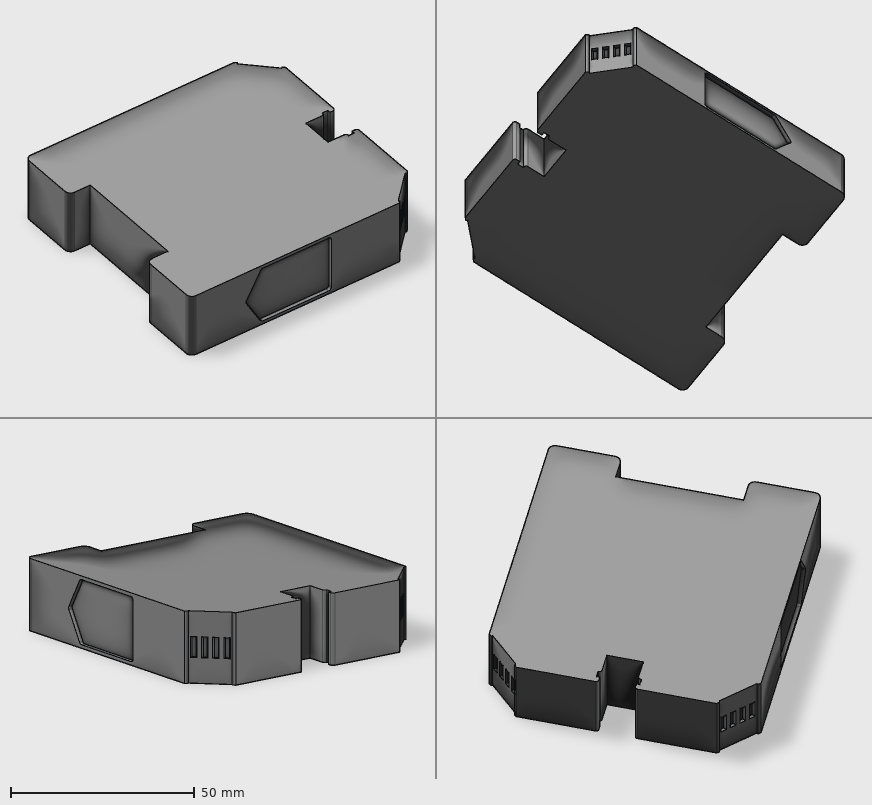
import cadquery as cq
import math

width = 76.3
length = 80.65
thickness = 20.5

slot_width = 10.25
slot_depth = 10.0
groove_start = 1.85
groove_width = 1.85
groove_depth = 1.0
slot_radius = 0.8

notch_width = 35.9
notch_depth = 7.2
foot_radius = 1.9

corner_leg = 10.0
lip_length = 0.9
lip_radius = 0.25
panel_depth = 0.5
wall_draft = 20.0

vent_count = 4
vent_pitch = 3.1
vent_width = 1.8
vent_height = 5.9
vent_depth = 1.0

label_height = 18.4
label_back = 7.3
label_tip = -21.6
label_tip_half_angle = 60.0
label_depth = 1.2
label_radius = 1.0

half_width = width / 2
half_length = length / 2
panel_length = corner_leg * math.sqrt(2) - 2 * lip_length
corner_x = half_width - corner_leg / 2
corner_y = half_length - corner_leg / 2


def cut_box(x_size, y_size, x, y):
    """Full-thickness box centred at (x, y)."""
    return cq.Workplane("XY").box(x_size, y_size, thickness).translate((x, y, 0))


def round_upright_edge(body, x, y, radius):
    """Fillet the edge along Z that passes through (x, y)."""
    return body.edges("|Z").edges(cq.NearestToPointSelector((x, y, 0))).fillet(radius)


def make_body():
    """Plain block with cut-off +Y corners, a slot and a rail notch."""
    body = cq.Workplane("XY").box(width, length, thickness)
    body = body.edges("|Z and >Y").chamfer(corner_leg)
    body = body.cut(cut_box(slot_width, slot_depth, 0, half_length - slot_depth / 2))
    body = body.cut(cut_box(notch_width, notch_depth, 0, -half_length + notch_depth / 2))
    body = body.edges("|Z and <Y").fillet(foot_radius)
    groove_y = half_length - groove_start - groove_width / 2
    body = body.cut(cut_box(slot_width + 2 * groove_depth, groove_width, 0, groove_y))
    groove_end = half_length - groove_start - groove_width
    for side in (-1, 1):
        for edge_y in (half_length, groove_end):
            body = round_upright_edge(body, side * slot_width / 2, edge_y, slot_radius)
    return body


def make_tapered_cut(opening, floor_depth, height):
    """Channel along Z cut into the -X corner face, centred on the origin before placing.

    Local x runs along the corner face and local y points out of it.
    """
    half_opening = opening / 2
    half_floor = half_opening - floor_depth * math.tan(math.radians(wall_draft))
    profile = [
        (-half_opening, 0),
        (half_opening, 0),
        (half_floor, -floor_depth),
        (-half_floor, -floor_depth),
    ]
    return cq.Workplane("XY").polyline(profile).close().extrude(height / 2, both=True)


def make_corner_cut():
    """Recessed panel with a row of vent pockets, for the -X corner."""
    cut = make_tapered_cut(panel_length, panel_depth, thickness)
    for index in range(vent_count):
        offset = (index - (vent_count - 1) / 2) * vent_pitch
        vent = make_tapered_cut(vent_width, vent_depth, vent_height)
        cut = cut.union(vent.translate((offset, -panel_depth, 0)))
    return cut.rotate((0, 0, 0), (0, 0, 1), 45).translate((-corner_x, corner_y, 0))


def make_label_cut():
    """Arrow-shaped recess pointing to -Y, for the -X side wall."""
    half_height = label_height / 2
    shoulder = label_tip + half_height / math.tan(math.radians(label_tip_half_angle))
    outline = [
        (label_back, -half_height),
        (label_back, half_height),
        (shoulder, half_height),
        (label_tip, 0),
        (shoulder, -half_height),
    ]
    recess = cq.Workplane("YZ").polyline(outline).close().extrude(label_depth)
    return recess.edges("|X").fillet(label_radius).translate((-half_width, 0, 0))


def round_lips(body):
    """Round the edge where each lip meets its recessed panel."""
    reach = panel_length / 2 / math.sqrt(2)
    for side in (-1, 1):
        for end in (-1, 1):
            lip_x = side * (corner_x - end * reach)
            body = round_upright_edge(body, lip_x, corner_y + end * reach, lip_radius)
    return body


side_cuts = make_corner_cut().union(make_label_cut())
housing = make_body().cut(side_cuts).cut(side_cuts.mirror("YZ"))
result = round_lips(housing)